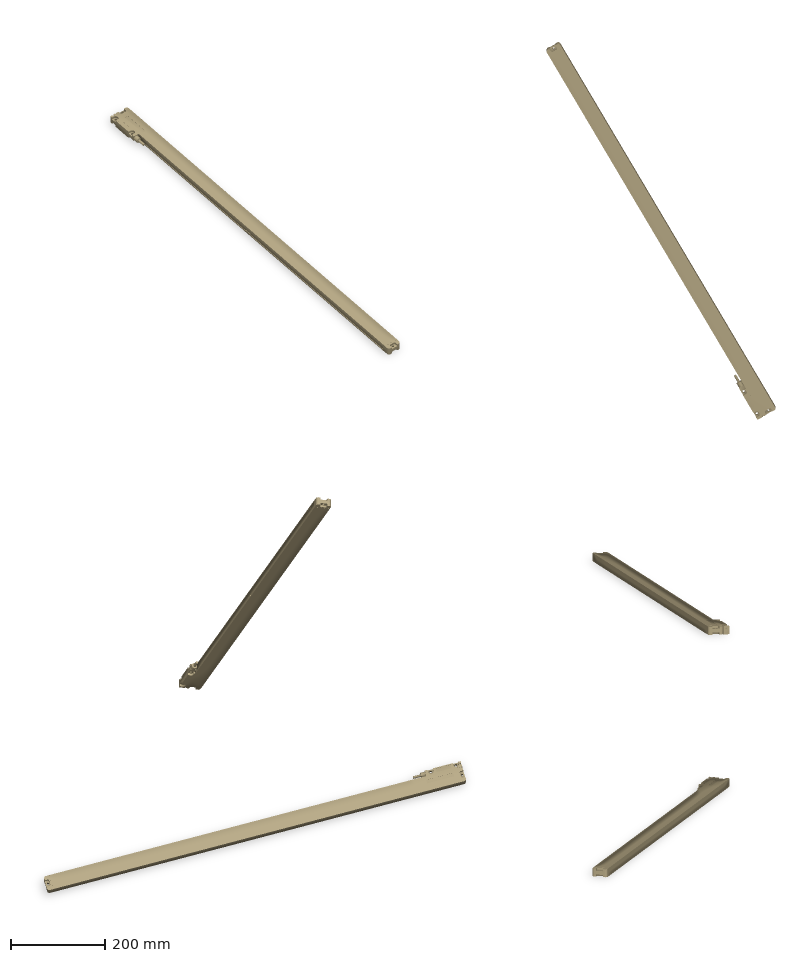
import cadquery as cq

TOTAL_LENGTH = 925.0
TOTAL_WIDTH = 46.0
HEIGHT = 18.0

HEAD_DEPTH = 13.0
HOUSING_FRONT = HEAD_DEPTH
HOUSING_WIDTH = TOTAL_WIDTH - HOUSING_FRONT
HOUSING_MID_Y = HOUSING_FRONT + HOUSING_WIDTH / 2
CAP_LENGTH = 12.5
CAP_DROP = 0.3
CAP_CORNER_RADIUS = 5.0
CAP_SEAT_LENGTH = 9.0
CAP_SEAT_WIDTH = 15.0
CAP_SEAT_RADIUS = 3.0
CAP_HOLE_DIAMETER = 4.8
CAP_HOLE_X = 5.0

SEAT_DEPTH = 5.0

FLANGE = 2.6
FRONT_RECESS_DEPTH = 1.5
FRONT_RECESS_END_MARGIN = 19.5
TAB_LENGTH = 17.0
TAB_HEIGHT = 2.6
TOP_TAB_X = 869.5
BOTTOM_TAB_X = 449.0

PANEL_START = 23.0
PANEL_LENGTH = 59.0
PANEL_WIDTH = 8.0
PANEL_MID_Y = 25.5
PANEL_DEPTH = 0.5

HEAD_LENGTH = 79.5
HEAD_SCREW_XS = (11.7, 67.4)
HEAD_SCREW_Y = 5.0
HEAD_HOLE_DIAMETER = 5.5
HEAD_SEAT_WIDTH = 12.0
END_STEP_LENGTH = 7.5
END_STEP_HEIGHT = 4.5
END_NOTCH_LENGTH = 3.5
END_NOTCH_WIDTH = 3.5
HEAD_PANEL_START = 23.0
HEAD_PANEL_LENGTH = 34.0
HEAD_PANEL_FRONT = 2.0
HEAD_PANEL_WIDTH = 8.5
HEAD_PANEL_DEPTH = 0.5

GLAND_DIAMETER = 12.0
GLAND_LENGTH = 10.0
CABLE_DIAMETER = 5.5
CABLE_LENGTH = 17.0
CABLE_Y = 6.0
CABLE_Z = 9.8


def block(x, y, z, length, width, height):
    """Box placed by its lowest corner."""
    return cq.Workplane("XY").box(length, width, height, centered=False).translate((x, y, z))


def rod(diameter, length, x):
    """Round bar along X on the cable axis, starting at x."""
    return (
        cq.Workplane("YZ", origin=(x, CABLE_Y, CABLE_Z))
        .circle(diameter / 2)
        .extrude(length)
    )


def screw_hole(diameter, x, y):
    """Upright cutter through the full height."""
    return cq.Workplane("XY").center(x, y).circle(diameter / 2).extrude(HEIGHT)


def end_cap():
    """Left end cap: rounded outer corners, and a screw hole between two open seats."""
    cap = block(0, HOUSING_FRONT, CAP_DROP, CAP_LENGTH, HOUSING_WIDTH, HEIGHT - 2 * CAP_DROP)
    cap = cap.edges("|Z and <X").fillet(CAP_CORNER_RADIUS)
    seat_y = HOUSING_MID_Y - CAP_SEAT_WIDTH / 2
    for z in (0, HEIGHT - SEAT_DEPTH):
        seat = block(0, seat_y, z, CAP_SEAT_LENGTH, CAP_SEAT_WIDTH, SEAT_DEPTH)
        cap = cap.cut(seat.edges("|Z and >X").fillet(CAP_SEAT_RADIUS))
    return cap.cut(screw_hole(CAP_HOLE_DIAMETER, CAP_HOLE_X, HOUSING_MID_Y))


def front_recess():
    """Cutter for the front recess, leaving one tab on each long edge."""
    start = FRONT_RECESS_END_MARGIN
    length = TOTAL_LENGTH - 2 * start
    recess = block(start, HOUSING_FRONT, FLANGE, length, FRONT_RECESS_DEPTH, HEIGHT - 2 * FLANGE)
    tabs = (
        (TOP_TAB_X, HEIGHT - FLANGE - TAB_HEIGHT),
        (BOTTOM_TAB_X, FLANGE),
    )
    for tab_x, tab_z in tabs:
        tab_start = tab_x - TAB_LENGTH / 2
        recess = recess.cut(
            block(tab_start, HOUSING_FRONT, tab_z, TAB_LENGTH, FRONT_RECESS_DEPTH, TAB_HEIGHT)
        )
    return recess


def scale_housing():
    """Long housing with an end cap at each end."""
    length = TOTAL_LENGTH - 2 * CAP_LENGTH
    housing = block(CAP_LENGTH, HOUSING_FRONT, 0, length, HOUSING_WIDTH, HEIGHT)
    housing = housing.cut(front_recess())
    cap = end_cap()
    housing = housing.union(cap)
    housing = housing.union(cap.mirror("YZ").translate((TOTAL_LENGTH, 0, 0)))
    panel = block(
        PANEL_START,
        PANEL_MID_Y - PANEL_WIDTH / 2,
        HEIGHT - PANEL_DEPTH,
        PANEL_LENGTH,
        PANEL_WIDTH,
        PANEL_DEPTH,
    )
    return housing.cut(panel)


def head_seat(x, z):
    """Cutter for a screw seat in the head: open at the front, round behind the screw."""
    half = HEAD_SEAT_WIDTH / 2
    return (
        cq.Workplane("XY", origin=(x, 0, z))
        .moveTo(-half, 0)
        .lineTo(-half, HEAD_SCREW_Y)
        .threePointArc((0, HEAD_SCREW_Y + half), (half, HEAD_SCREW_Y))
        .lineTo(half, 0)
        .close()
        .extrude(SEAT_DEPTH)
    )


def reading_head():
    """Head block with two screw points, and a cable gland and cable at its right end."""
    head = block(0, 0, 0, HEAD_LENGTH, HEAD_DEPTH, HEIGHT)
    for screw_x in HEAD_SCREW_XS:
        head = head.cut(screw_hole(HEAD_HOLE_DIAMETER, screw_x, HEAD_SCREW_Y))
        for z in (0, HEIGHT - SEAT_DEPTH):
            head = head.cut(head_seat(screw_x, z))
    end_step = block(
        HEAD_LENGTH - END_STEP_LENGTH, 0, 0, END_STEP_LENGTH, HEAD_DEPTH, END_STEP_HEIGHT
    )
    end_notch = block(
        0,
        (HEAD_DEPTH - END_NOTCH_WIDTH) / 2,
        HEIGHT - SEAT_DEPTH,
        END_NOTCH_LENGTH,
        END_NOTCH_WIDTH,
        SEAT_DEPTH,
    )
    panel = block(
        HEAD_PANEL_START,
        HEAD_PANEL_FRONT,
        HEIGHT - HEAD_PANEL_DEPTH,
        HEAD_PANEL_LENGTH,
        HEAD_PANEL_WIDTH,
        HEAD_PANEL_DEPTH,
    )
    head = head.cut(end_step).cut(end_notch).cut(panel)
    gland = rod(GLAND_DIAMETER, GLAND_LENGTH, HEAD_LENGTH)
    cable = rod(CABLE_DIAMETER, CABLE_LENGTH, HEAD_LENGTH + GLAND_LENGTH)
    return head.union(gland).union(cable)


housing = scale_housing()
head = reading_head()
result = cq.Compound.makeCompound([housing.val(), head.val()])